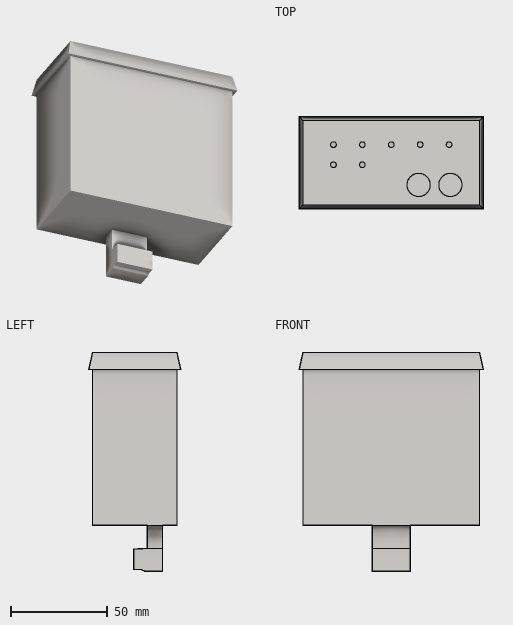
import cadquery as cq

bezel_length = 96.0
bezel_width = 48.0
bezel_height = 9.0
total_height = 114.0
case_length = 92.0
case_width = 44.0

connector_length = 20.0
stem_thickness = 8.0
stem_height = 12.0
head_depth = 15.0
head_height = 12.0
connector_front_y = -14.5
head_top_drop = 0.3
head_lip_depth = 4.0
head_ramp_depth = 1.7
head_lip_rise = 0.8

indicator_diameter = 3.0
indicator_depth = 0.2
indicator_pitch_x = 15.0
front_row_y = -1.0
back_row_y = 9.5
indicator_columns = {back_row_y: range(-2, 3), front_row_y: range(-2, 0)}

button_diameter = 12.1
button_thickness = 1.1
button_xs = (14.2, 30.8)
button_y = -11.5

stem_bottom_z = head_height
case_bottom_z = stem_bottom_z + stem_height
bezel_bottom_z = total_height - bezel_height
case_height = bezel_bottom_z - case_bottom_z


def make_button(x):
    """One flush disc, which also serves as the cutter for its recess."""
    return (
        cq.Workplane("XY", origin=(x, button_y, total_height - button_thickness))
        .circle(button_diameter / 2)
        .extrude(button_thickness)
    )


def make_housing():
    """Case with its flared bezel, connector stem, indicator holes and button recesses."""
    case = (
        cq.Workplane("XY", origin=(0, 0, case_bottom_z))
        .rect(case_length, case_width)
        .extrude(case_height)
    )
    bezel = (
        cq.Workplane("XY", origin=(0, 0, bezel_bottom_z))
        .rect(bezel_length, bezel_width)
        .workplane(offset=bezel_height)
        .rect(case_length, case_width)
        .loft(ruled=True)
    )
    stem_center_y = connector_front_y + stem_thickness / 2
    stem = (
        cq.Workplane("XY", origin=(0, stem_center_y, stem_bottom_z))
        .rect(connector_length, stem_thickness)
        .extrude(stem_height)
    )
    indicator_points = [
        (column * indicator_pitch_x, row_y)
        for row_y, columns in indicator_columns.items()
        for column in columns
    ]
    indicator_holes = (
        cq.Workplane("XY", origin=(0, 0, total_height - indicator_depth))
        .pushPoints(indicator_points)
        .circle(indicator_diameter / 2)
        .extrude(indicator_depth)
    )
    housing = case.union(bezel).union(stem).cut(indicator_holes)
    for x in button_xs:
        housing = housing.cut(make_button(x))
    return housing


def make_head():
    """Connector head under the stem, extruded along X from its side profile."""
    head_back_y = connector_front_y + head_depth
    lip_front_y = head_back_y - head_lip_depth
    profile = [
        (connector_front_y, 0),
        (lip_front_y - head_ramp_depth, 0),
        (lip_front_y, head_lip_rise),
        (head_back_y, head_lip_rise),
        (head_back_y, stem_bottom_z - head_top_drop),
        (connector_front_y + stem_thickness, stem_bottom_z),
        (connector_front_y, stem_bottom_z),
    ]
    return (
        cq.Workplane("YZ", origin=(-connector_length / 2, 0, 0))
        .polyline(profile)
        .close()
        .extrude(connector_length)
    )


housing = make_housing()
head = make_head()
buttons = [make_button(x) for x in button_xs]

result = cq.Compound.makeCompound(
    [housing.val(), head.val(), *[button.val() for button in buttons]]
)